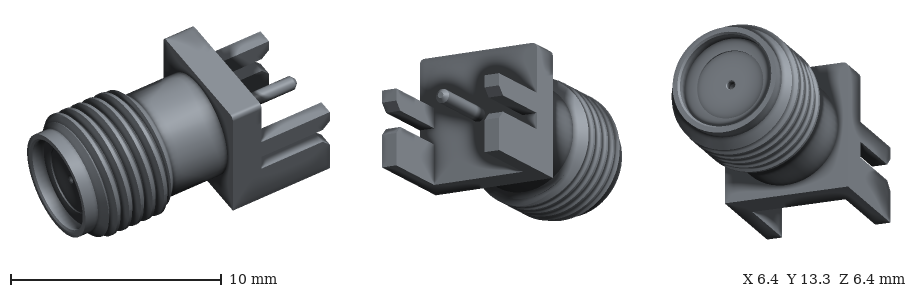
import cadquery as cq
import math


FLANGE_SIZE = 6.3
FLANGE_THICKNESS = 1.6
FLANGE_CORNER_RADIUS = 0.25
LEG_LENGTH = 3.8
LEG_WIDTH = 0.77
LEG_TOP = 0.65
LEG_CHAMFER = 0.4
BOARD_SLOT_HEIGHT = 0.8

PIN_DIAMETER = 0.7
PIN_TIP_CHAMFER = 0.2

BARREL_DIAMETER = 5.3
NECK_LENGTH = 3.0
THREAD_LENGTH = 4.2
NOSE_LENGTH = 0.7

THREAD_DIAMETER = 6.4
THREAD_PITCH = 0.65
THREAD_DEPTH = 0.33
CREST_WIDTH = 0.16
ROOT_WIDTH = 0.04
GROOVE_START_LEAD = 0.34
GROOVE_OVERSHOOT = 0.1

BORE_DIAMETER = 4.62
BORE_DEPTH = 0.72
BORE_CHAMFER = 0.09
INSULATOR_DIAMETER = 3.4
INSULATOR_RECESS = 0.08
CONTACT_HOLE_DIAMETER = 0.4
CONTACT_HOLE_DEPTH = 0.4
CONTACT_HOLE_CHAMFER = 0.04
CONTACT_CONE_ANGLE = 118.0

HALF_FLANGE = FLANGE_SIZE / 2
PIN_RADIUS = PIN_DIAMETER / 2
BARREL_RADIUS = BARREL_DIAMETER / 2
THREAD_RADIUS = THREAD_DIAMETER / 2
SLOT_TOP = -PIN_RADIUS
SLOT_BOTTOM = SLOT_TOP - BOARD_SLOT_HEIGHT
NECK_START = -FLANGE_THICKNESS
THREAD_REAR = NECK_START - NECK_LENGTH
THREAD_FRONT = THREAD_REAR - THREAD_LENGTH
NOSE_END = THREAD_FRONT - NOSE_LENGTH


def revolve_about_y(points):
    """Revolve a closed (radius, y) outline about the Y axis."""
    return cq.Workplane("XY").polyline(points).close().revolve(360, (0, 0, 0), (0, 1, 0))


def cylinder_along_y(diameter, y_start, y_end):
    """Solid cylinder on the Y axis between two Y positions."""
    radius = diameter / 2
    return revolve_about_y([(0, y_start), (radius, y_start), (radius, y_end), (0, y_end)])


def make_flange():
    """Square flange with its two top corners rounded."""
    block = cq.Workplane("XY").box(FLANGE_SIZE, FLANGE_THICKNESS, FLANGE_SIZE)
    rounded = block.edges("|Y and >Z").fillet(FLANGE_CORNER_RADIUS)
    return rounded.translate((0, -FLANGE_THICKNESS / 2, 0))


def make_leg_pair(side):
    """Upper and lower leg on one side (-1 or +1), with a board slot between them."""
    upper = [
        (0, LEG_TOP),
        (LEG_LENGTH, LEG_TOP),
        (LEG_LENGTH, SLOT_TOP + LEG_CHAMFER),
        (LEG_LENGTH - LEG_CHAMFER, SLOT_TOP),
        (0, SLOT_TOP),
    ]
    lower = [
        (0, SLOT_BOTTOM),
        (LEG_LENGTH - LEG_CHAMFER, SLOT_BOTTOM),
        (LEG_LENGTH, SLOT_BOTTOM - LEG_CHAMFER),
        (LEG_LENGTH, -HALF_FLANGE),
        (0, -HALF_FLANGE),
    ]
    outlines = cq.Workplane("YZ").polyline(upper).close().polyline(lower).close()
    legs = outlines.extrude(LEG_WIDTH / 2, both=True)
    return legs.translate((side * (HALF_FLANGE - LEG_WIDTH / 2), 0, 0))


def make_pin():
    """Centre pin with a chamfered tip, rooted inside the flange."""
    pin = cylinder_along_y(PIN_DIAMETER, -FLANGE_THICKNESS / 2, LEG_LENGTH)
    return pin.faces(">Y").edges().chamfer(PIN_TIP_CHAMFER)


def make_barrel_envelope():
    """Neck, thread blank with 45 degree ends, and nose as one turned body."""
    end_chamfer = THREAD_RADIUS - BARREL_RADIUS
    return revolve_about_y([
        (0, NECK_START),
        (BARREL_RADIUS, NECK_START),
        (BARREL_RADIUS, THREAD_REAR),
        (THREAD_RADIUS, THREAD_REAR - end_chamfer),
        (THREAD_RADIUS, THREAD_FRONT + end_chamfer),
        (BARREL_RADIUS, THREAD_FRONT),
        (BARREL_RADIUS, NOSE_END),
        (0, NOSE_END),
    ])


def make_thread_groove():
    """Right-handed V groove with a narrow flat root that runs out through both ends of the thread blank."""
    root_radius = THREAD_RADIUS - THREAD_DEPTH
    half_root = ROOT_WIDTH / 2
    half_mouth = (THREAD_PITCH - CREST_WIDTH) / 2
    flank_slope = (half_mouth - half_root) / THREAD_DEPTH
    outer_radius = THREAD_RADIUS + GROOVE_OVERSHOOT
    half_outer = half_mouth + flank_slope * GROOVE_OVERSHOOT
    helix_length = THREAD_LENGTH + THREAD_PITCH
    helix = cq.Wire.makeHelix(THREAD_PITCH, helix_length, root_radius)
    profile = cq.Workplane("XZ").polyline([
        (root_radius, half_root),
        (outer_radius, half_outer),
        (outer_radius, -half_outer),
        (root_radius, -half_root),
    ]).close()
    groove = profile.sweep(cq.Workplane(helix), isFrenet=True)
    along_y = groove.rotate((0, 0, 0), (1, 0, 0), -90).rotate((0, 0, 0), (0, 1, 0), -90)
    return along_y.translate((0, THREAD_FRONT + GROOVE_START_LEAD - THREAD_PITCH, 0))


def make_barrel():
    """Threaded bar turned down to the barrel envelope, so the thread ends run out on the chamfers."""
    bar = cylinder_along_y(THREAD_DIAMETER, NECK_START, NOSE_END)
    threaded_bar = bar.cut(make_thread_groove())
    return threaded_bar.intersect(make_barrel_envelope())


def make_socket():
    """Chamfered bore, shallow insulator recess and drilled contact hole with a chamfered mouth."""
    bore_radius = BORE_DIAMETER / 2
    insulator_radius = INSULATOR_DIAMETER / 2
    hole_radius = CONTACT_HOLE_DIAMETER / 2
    floor = NOSE_END + BORE_DEPTH
    insulator_face = floor + INSULATOR_RECESS
    hole_end = insulator_face + CONTACT_HOLE_DEPTH
    cone_length = hole_radius / math.tan(math.radians(CONTACT_CONE_ANGLE / 2))
    return revolve_about_y([
        (0, NOSE_END),
        (bore_radius + BORE_CHAMFER, NOSE_END),
        (bore_radius, NOSE_END + BORE_CHAMFER),
        (bore_radius, floor),
        (insulator_radius, floor),
        (insulator_radius, insulator_face),
        (hole_radius + CONTACT_HOLE_CHAMFER, insulator_face),
        (hole_radius, insulator_face + CONTACT_HOLE_CHAMFER),
        (hole_radius, hole_end),
        (0, hole_end + cone_length),
    ])


barrel = make_barrel().cut(make_socket())
result = make_flange().union(barrel).union(make_pin())
for side in (-1, 1):
    result = result.union(make_leg_pair(side))